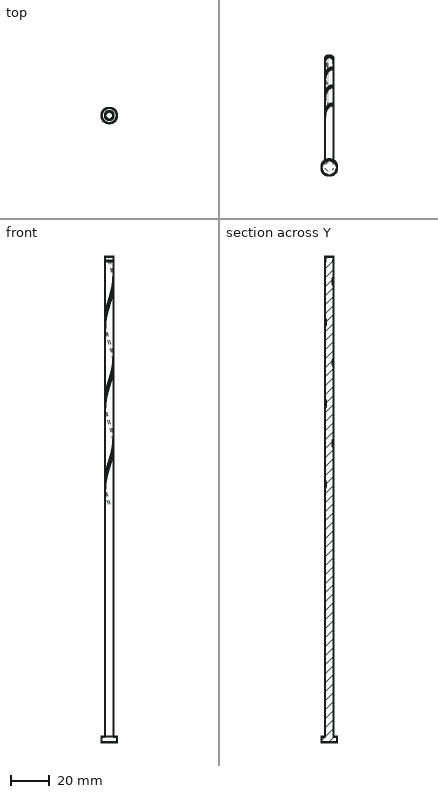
import cadquery as cq

length = 250.0
shaft_radius = 4.5 / 2
head_radius = 8.0 / 2
head_height = 3.0

groove_depth = 0.3

ring_tip_gap = 2.0
ring_width = 0.5
ring_top = length - ring_tip_gap
ring_bottom = ring_top - ring_width

helix_turns = 3
helix_height = length / 2
helix_bottom = ring_bottom - helix_height
helix_width = 1.0

cutter_overhang = 1.0


def turned_pin():
    """Head, shaft and ring groove, revolved from one half profile on the -X side."""
    groove_radius = shaft_radius - groove_depth
    half_profile = [
        (0, 0),
        (-head_radius, 0),
        (-head_radius, head_height),
        (-shaft_radius, head_height),
        (-shaft_radius, ring_bottom),
        (-groove_radius, ring_bottom),
        (-groove_radius, ring_top),
        (-shaft_radius, ring_top),
        (-shaft_radius, length),
        (0, length),
    ]
    return (
        cq.Workplane("XZ")
        .polyline(half_profile)
        .close()
        .revolve(360, (0, 0, 0), (0, 1, 0))
    )


def helical_cutter():
    """Rectangle across the shaft surface at +Y, twisted upward around the pin axis."""
    inner_radius = shaft_radius - groove_depth
    outer_radius = shaft_radius + cutter_overhang
    middle_radius = (inner_radius + outer_radius) / 2
    return (
        cq.Workplane("XY", origin=(0, 0, helix_bottom))
        .center(0, middle_radius)
        .rect(helix_width, outer_radius - inner_radius)
        .center(0, -middle_radius)
        .twistExtrude(helix_height, 360 * helix_turns)
    )


result = turned_pin().cut(helical_cutter())